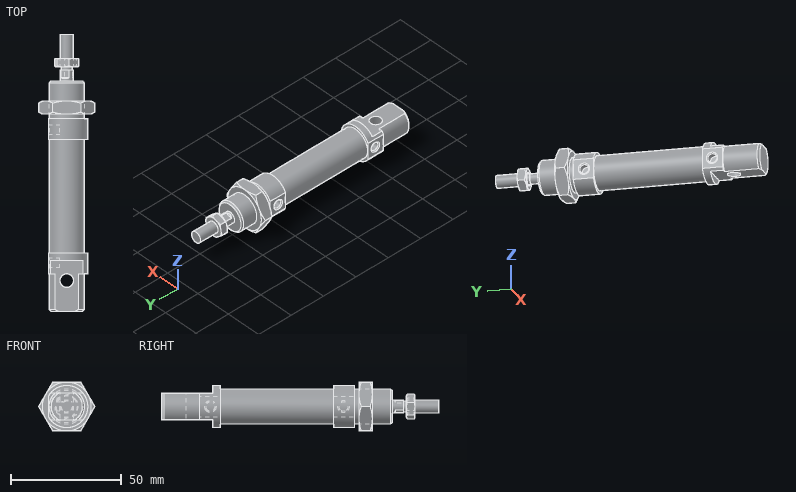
import cadquery as cq
import math


BARREL_DIA = 16.0
COLLAR_DIA = 19.0
COLLAR_LENGTH = 9.5
COLLAR_SPACING = 60.5
COLLAR_FLAT_X = -8.3
BOSS_LENGTH = 17.0
BOSS_FACE_DIA = 14.5
BOSS_BEVEL_LENGTH = 0.9
REAR_COLLAR_FRONT = -COLLAR_SPACING
REAR_COLLAR_BACK = REAR_COLLAR_FRONT - COLLAR_LENGTH

PORT_DIA = 4.2
PORT_RIM_DIA = 5.3
PORT_DEPTH = 5.0
PORT_INSET = 5.0

TANG_WIDTH = 12.0
TANG_BEVEL = 1.0
COLLAR_RIM_LENGTH = 3.5
TANG_FLAT_START = REAR_COLLAR_FRONT - COLLAR_RIM_LENGTH
PIVOT_HOLE_DIA = 6.0
PIVOT_FROM_COLLAR = 3.0
TANG_END_FROM_PIVOT = 14.0
PIVOT_Y = REAR_COLLAR_BACK - PIVOT_FROM_COLLAR
TANG_END = PIVOT_Y - TANG_END_FROM_PIVOT

ROD_DIA = 6.0
ROD_RELIEF_DIA = 5.0
ROD_TIP = 38.0
THREAD_LENGTH = 16.0
RELIEF_LENGTH = 1.5
WRENCH_FLATS = 4.8
WRENCH_FLAT_LENGTH = 3.5
WRENCH_RUNOUT_LENGTH = 0.5
ROD_TURN = 19.0
THREAD_START = ROD_TIP - THREAD_LENGTH

HEX_SIDES = 6
NUT_BEVEL_ANGLE = 30.0
MOUNT_NUT_SIZE = 22.0
MOUNT_NUT_THICKNESS = 6.0
MOUNT_NUT_BACK = 2.0
ROD_NUT_SIZE = 10.0
ROD_NUT_THICKNESS = 4.0
ROD_NUT_BACK = 23.2
ROD_NUT_BACK_FACE_DIA = 9.5
ROD_NUT_FRONT_FACE_DIA = 10.3


def revolve_about_y(profile):
    """Solid of revolution from (radius, y) points."""
    return cq.Workplane("XY").polyline(profile).close().revolve(360, (0, 0, 0), (0, 1, 0))


def y_cylinder(diameter, y_back, length):
    return cq.Workplane("XZ", origin=(0, y_back, 0)).circle(diameter / 2).extrude(-length)


def turn_about_y(shape, degrees):
    """Turn from +X towards +Z."""
    return shape.rotate((0, 0, 0), (0, 1, 0), -degrees)


def make_collar(y_back):
    collar = y_cylinder(COLLAR_DIA, y_back, COLLAR_LENGTH)
    outside = cq.Workplane("XY").box(
        COLLAR_DIA, COLLAR_LENGTH, COLLAR_DIA, centered=(True, False, True)
    )
    return collar.cut(outside.translate((COLLAR_FLAT_X - COLLAR_DIA / 2, y_back, 0)))


def make_port(y):
    """Blind port entering from the collar flat, with a 45 degree rim."""
    rim = (PORT_RIM_DIA - PORT_DIA) / 2
    profile = [
        (0, 0),
        (PORT_RIM_DIA / 2, 0),
        (PORT_DIA / 2, rim),
        (PORT_DIA / 2, PORT_DEPTH),
        (0, PORT_DEPTH),
    ]
    port = revolve_about_y(profile).rotate((0, 0, 0), (0, 0, 1), -90)
    return port.translate((COLLAR_FLAT_X, y, 0))


def make_housing():
    barrel_radius = BARREL_DIA / 2
    housing = revolve_about_y([
        (0, TANG_END),
        (barrel_radius - TANG_BEVEL, TANG_END),
        (barrel_radius, TANG_END + TANG_BEVEL),
        (barrel_radius, BOSS_LENGTH - BOSS_BEVEL_LENGTH),
        (BOSS_FACE_DIA / 2, BOSS_LENGTH),
        (0, BOSS_LENGTH),
    ])
    for collar_back in (-COLLAR_LENGTH, REAR_COLLAR_BACK):
        housing = housing.union(make_collar(collar_back))
    for port_y in (-PORT_INSET, REAR_COLLAR_BACK + PORT_INSET):
        housing = housing.cut(make_port(port_y))

    flat_length = TANG_FLAT_START - TANG_END
    flat_cutter = cq.Workplane("XY").box(
        COLLAR_DIA, flat_length, COLLAR_DIA, centered=(True, False, False)
    ).translate((0, TANG_END, TANG_WIDTH / 2))
    housing = housing.cut(flat_cutter).cut(flat_cutter.mirror("XY"))

    pivot_hole = (
        cq.Workplane("XY").center(0, PIVOT_Y).circle(PIVOT_HOLE_DIA / 2).extrude(TANG_WIDTH, both=True)
    )
    return housing.cut(pivot_hole)


def make_rod():
    """Rod standing on the boss face, with a thread relief and two wrench flats."""
    rod = y_cylinder(ROD_DIA, BOSS_LENGTH, THREAD_START - BOSS_LENGTH)
    rod_radius = ROD_DIA / 2
    flat_height = WRENCH_FLATS / 2
    flat_end = THREAD_START - WRENCH_FLAT_LENGTH
    flat_cutter = (
        cq.Workplane("YZ")
        .polyline([
            (THREAD_START, flat_height),
            (flat_end, flat_height),
            (flat_end - WRENCH_RUNOUT_LENGTH, rod_radius),
            (THREAD_START, rod_radius),
        ])
        .close()
        .extrude(ROD_DIA, both=True)
    )
    rod = rod.cut(flat_cutter).cut(flat_cutter.mirror("XY"))
    rod = rod.union(y_cylinder(ROD_RELIEF_DIA, THREAD_START, RELIEF_LENGTH))
    thread_back = THREAD_START + RELIEF_LENGTH
    rod = rod.union(y_cylinder(ROD_DIA, thread_back, ROD_TIP - thread_back))
    return turn_about_y(rod, ROD_TURN)


def make_nut(size, thickness, bore_dia, back_face_dia, front_face_dia):
    """Hex nut from Y = 0 with corners on the X axis, each face bevelled down to a circle."""
    corner_radius = size / 2 / math.cos(math.pi / HEX_SIDES)
    bevel_slope = math.tan(math.radians(NUT_BEVEL_ANGLE))
    back_bevel = (corner_radius - back_face_dia / 2) * bevel_slope
    front_bevel = (corner_radius - front_face_dia / 2) * bevel_slope
    hexagon = cq.Workplane("XZ").polygon(HEX_SIDES, 2 * corner_radius).extrude(-thickness)
    envelope = revolve_about_y([
        (0, 0),
        (back_face_dia / 2, 0),
        (corner_radius, back_bevel),
        (corner_radius, thickness - front_bevel),
        (front_face_dia / 2, thickness),
        (0, thickness),
    ])
    return hexagon.intersect(envelope).cut(y_cylinder(bore_dia, 0, thickness))


def make_mount_nut():
    nut = make_nut(MOUNT_NUT_SIZE, MOUNT_NUT_THICKNESS, BARREL_DIA, MOUNT_NUT_SIZE, MOUNT_NUT_SIZE)
    return nut.translate((0, MOUNT_NUT_BACK, 0))


def make_rod_nut():
    nut = make_nut(
        ROD_NUT_SIZE, ROD_NUT_THICKNESS, ROD_DIA, ROD_NUT_BACK_FACE_DIA, ROD_NUT_FRONT_FACE_DIA
    )
    return turn_about_y(nut.translate((0, ROD_NUT_BACK, 0)), ROD_TURN)


housing = make_housing()
rod = make_rod()
mount_nut = make_mount_nut()
rod_nut = make_rod_nut()

result = cq.Compound.makeCompound([housing.val(), rod.val(), mount_nut.val(), rod_nut.val()])